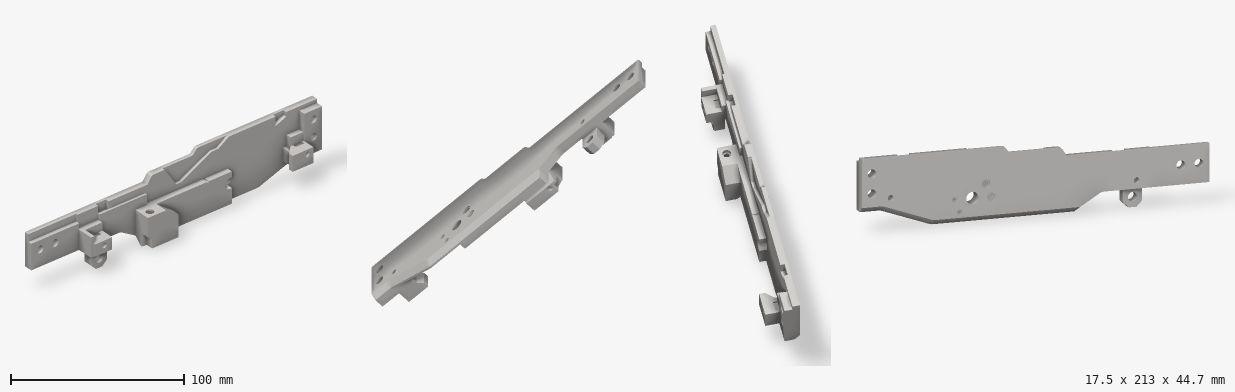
import cadquery as cq

length = 213.0
total_width = 17.5

plate_thick = 4.5
plate_bottom = 1.5
arm_bottom = 12.5
top_high = 44.7
top_middle = 41.0
top_low = 35.8
edge_chamfer = 3.2
front_slope_start = 66.0
front_slope_end = 79.2
front_bevel = 2.5
rear_slope_start = 169.5
rear_slope_end = 200.6
low_step_end = 87.1
low_step_start = 90.7
high_step_end = 122.5
high_step_start = 125.7
corner_radius = 6.4
step_radius = 2.1

ledge_start = 3.2
ledge_top = 30.7
backing_x = 6.0
backing_end = 85.6
strip_x = 8.5
strip_end = 146.5
strip_top = 23.5
groove_y = 128.2
groove_width = 1.5
groove_depth = 0.6
end_pad_x = 9.2
end_pad_start = 199.8
end_pad_top = 42.0

block_start = 77.0
block_end = 99.7
block_slope_start = 90.5
block_slope_drop = 6.4
block_chamfer = 4.7
undercut_x = 12.4
undercut_top = 10.2
undercut_depth = 3.2
guide_hole_x = 12.8
guide_hole_y = 82.5
guide_hole_dia = 3.2
guide_counterbore_dia = 5.1
guide_counterbore_depth = 2.1

lug_start = 35.4
lug_end = 50.7
lug_wall = 2.5
lug_top = 26.5
lug_wall_x = 17.0
lug_floor = 20.9
eye_x = 6.4
eye_thick = 6.2
eye_start = 39.2
eye_chamfer = 3.5
eye_hole_y = 45.0
eye_hole_z = 6.2
eye_hole_dia = 5.5

hook_arm_top = 29.2
hook_top = 23.5
hook_tip_y = 184.5
hook_tip_x = 14.0
hook_root_y = 190.2
hook_web_y = 187.7
hook_web_x = 10.9
hook_web_top = 21.3

slot_x = 8.3
slot_width = 2.8
slot_length = 6.2
slot_depth = 1.0
lug_slot_start = 41.5
hook_slot_start = 192.0

recess_x = 2.0
recess_length = 7.9
recess_depth = 6.4
pocket_x = 2.5
pocket_end = 147.6
pocket_shelf_end = 139.7
pocket_shelf_start = 134.8
pocket_floor_end = 112.5
pocket_floor_start = 108.6
pocket_start = 100.1
pocket_shelf = 39.5
pocket_floor = 27.7

screw_holes = [(206.6, 35.5), (206.6, 23.6), (17.5, 24.3), (6.4, 24.3)]
screw_hole_dia = 5.1
screw_rim_dia = 5.5
screw_rim_depth = 0.6
dowel_holes = [(195.3, 20.2), (44.7, 17.5)]
dowel_hole_dia = 3.5
shaft_hole = (145.3, 15.8)
shaft_hole_dia = 7.5
pin_marks = [(156.3, 15.8), (153.1, 8.0)]
pin_outer_dia = 3.2
pin_inner_dia = 1.5
stepped_mark = (137.2, 23.6)
stepped_outer_dia = 5.5
stepped_inner_dia = 3.5
slotted_mark = (133.8, 15.8)
slotted_dia = 5.1
slot_mark_length = 3.5
slot_mark_width = 0.9
slot_mark_angle = 135
mark_depth = 0.6


def box(x0, x1, y0, y1, z0, z1):
    return cq.Workplane("XY").box(x1 - x0, y1 - y0, z1 - z0, centered=False).translate((x0, y0, z0))


def side_prism(points, x0, x1):
    """Extrude a (Y, Z) outline from x0 to x1."""
    return cq.Workplane("YZ").workplane(offset=x0).polyline(points).close().extrude(x1 - x0)


def bore(center, diameter, depth):
    """Cylinder from X = 0 along +X at a (Y, Z) center."""
    return cq.Workplane("YZ").center(*center).circle(diameter / 2).extrude(depth)


def bend_zone(y0, y1, z0, z1):
    """Select the bends of the outline in a (Y, Z) rectangle, with a small margin."""
    margin = 0.2
    low_corner = (-margin, y0 - margin, z0 - margin)
    high_corner = (total_width, y1 + margin, z1 + margin)
    return cq.selectors.BoxSelector(low_corner, high_corner)


def profile(x0, x1):
    """Side outline of the plate, extruded from x0 to x1."""
    points = [
        (0, arm_bottom),
        (front_slope_start, arm_bottom),
        (front_slope_end, plate_bottom + edge_chamfer),
        (front_slope_end + front_bevel, plate_bottom),
        (rear_slope_start, plate_bottom),
        (rear_slope_end, arm_bottom),
        (length, arm_bottom),
        (length, top_high),
        (high_step_start, top_high),
        (high_step_end, top_middle),
        (low_step_start, top_middle),
        (low_step_end, top_low),
        (0, top_low),
    ]
    body = side_prism(points, x0, x1)
    front_bend = bend_zone(front_slope_start, front_slope_start, plate_bottom, arm_bottom)
    rear_bends = bend_zone(rear_slope_start, rear_slope_end, plate_bottom, arm_bottom)
    step_bends = bend_zone(low_step_start, high_step_start, top_middle, top_high)
    body = body.edges("|X").edges(front_bend + rear_bends).fillet(corner_radius)
    return body.edges("|X").edges(step_bends).fillet(step_radius)


def make_plate():
    plate = profile(0, plate_thick)
    lower_edges = cq.selectors.BoxSelector((-0.2, backing_end, 0), (0.2, length + 2.1, arm_bottom + 0.2))
    plate = plate.edges(lower_edges).chamfer(edge_chamfer)
    return plate.cut(box(ledge_start, plate_thick, 0, lug_start, ledge_top, top_high))


def make_back_layers():
    backing = profile(plate_thick, backing_x).intersect(box(0, total_width, 0, backing_end, 0, ledge_top))
    backing = backing.cut(box(plate_thick, backing_x, lug_start, lug_end, lug_top, ledge_top))
    strip = profile(plate_thick, strip_x).intersect(
        box(0, total_width, block_start, strip_end, 0, strip_top)
    )
    end_pad = box(plate_thick, end_pad_x, end_pad_start, length, arm_bottom, end_pad_top)
    groove_bottom = strip_top - groove_depth
    groove = box(plate_thick, strip_x, groove_y, groove_y + groove_width, groove_bottom, strip_top)
    return backing.union(strip.cut(groove)).union(end_pad)


def make_block():
    outline = [
        (block_start, plate_bottom),
        (block_end, plate_bottom),
        (block_end, strip_top - block_slope_drop),
        (block_slope_start, strip_top),
        (block_start, strip_top),
    ]
    undercut = [
        (block_start, plate_bottom),
        (block_start + undercut_depth, plate_bottom),
        (block_start + undercut_depth, undercut_top - undercut_depth),
        (block_start, undercut_top),
    ]
    block = side_prism(outline, backing_x, total_width)
    block = block.edges("|Y and <X and <Z").chamfer(block_chamfer)
    block = block.cut(side_prism(undercut, undercut_x, total_width))
    top = cq.Workplane("XY", origin=(guide_hole_x, guide_hole_y, strip_top))
    return block.cut(top.circle(guide_hole_dia / 2).extrude(-strip_top)).cut(
        top.circle(guide_counterbore_dia / 2).extrude(-guide_counterbore_depth)
    )


def top_slot(y0, top):
    return box(slot_x, slot_x + slot_width, y0, y0 + slot_length, top - slot_depth, top)


def make_lug():
    lug = box(plate_thick, total_width, lug_start + lug_wall, lug_end, arm_bottom, lug_floor)
    lug = lug.union(box(plate_thick, slot_x, lug_start, lug_end, arm_bottom, lug_top))
    lug = lug.union(box(plate_thick, lug_wall_x, lug_start, lug_start + lug_wall, arm_bottom, lug_top))
    lug = lug.cut(top_slot(lug_slot_start, lug_floor))
    eye = box(eye_x, eye_x + eye_thick, eye_start, lug_end, 0, arm_bottom)
    eye = eye.faces("<Z").edges("|X").chamfer(eye_chamfer)
    eye = eye.cut(bore((eye_hole_y, eye_hole_z), eye_hole_dia, total_width))
    return lug.union(eye)


def make_hook():
    outline = [
        (plate_thick, end_pad_start),
        (total_width, end_pad_start),
        (total_width, hook_tip_y),
        (hook_tip_x, hook_tip_y),
        (slot_x, hook_root_y),
        (plate_thick, hook_root_y),
    ]
    hook = cq.Workplane("XY").workplane(offset=arm_bottom).polyline(outline).close()
    hook = hook.extrude(hook_top - arm_bottom)
    arm = box(plate_thick, slot_x, hook_root_y, end_pad_start, arm_bottom, hook_arm_top)
    web = box(plate_thick, hook_web_x, hook_web_y, hook_root_y, arm_bottom, hook_web_top)
    return hook.union(arm).union(web).cut(top_slot(hook_slot_start, hook_top))


def make_recesses():
    low = box(recess_x, plate_thick, lug_end, lug_end + recess_length, top_low - recess_depth, top_low)
    high_start = hook_root_y - recess_length
    high = [
        (hook_root_y, top_high),
        (hook_root_y, top_high - recess_depth / 2),
        (high_start, top_high - recess_depth),
        (high_start, top_high),
    ]
    pocket = [
        (pocket_end, top_high),
        (pocket_shelf_end, pocket_shelf),
        (pocket_shelf_start, pocket_shelf),
        (pocket_floor_end, pocket_floor),
        (pocket_floor_start, pocket_floor),
        (pocket_start, top_middle),
        (pocket_start, top_high),
    ]
    recesses = low.union(side_prism(high, recess_x, plate_thick))
    return recesses.union(side_prism(pocket, pocket_x, plate_thick))


def make_holes():
    cuts = bore(shaft_hole, shaft_hole_dia, total_width)
    for center in screw_holes:
        cuts = cuts.union(bore(center, screw_hole_dia, total_width))
        cuts = cuts.union(bore(center, screw_rim_dia, screw_rim_depth))
    for center in dowel_holes:
        cuts = cuts.union(bore(center, dowel_hole_dia, total_width))
    for center in pin_marks:
        cuts = cuts.union(bore(center, pin_outer_dia, mark_depth))
        cuts = cuts.union(bore(center, pin_inner_dia, 2 * mark_depth))
    cuts = cuts.union(bore(stepped_mark, stepped_outer_dia, mark_depth))
    cuts = cuts.union(bore(stepped_mark, stepped_inner_dia, 2 * mark_depth))
    cuts = cuts.union(bore(slotted_mark, slotted_dia, mark_depth))
    slot = cq.Workplane("YZ").center(*slotted_mark).transformed(rotate=(0, 0, slot_mark_angle))
    return cuts.union(slot.rect(slot_mark_length, slot_mark_width).extrude(2 * mark_depth))


body = make_plate().union(make_back_layers()).union(make_block()).union(make_lug()).union(make_hook())
result = body.cut(make_recesses()).cut(make_holes())